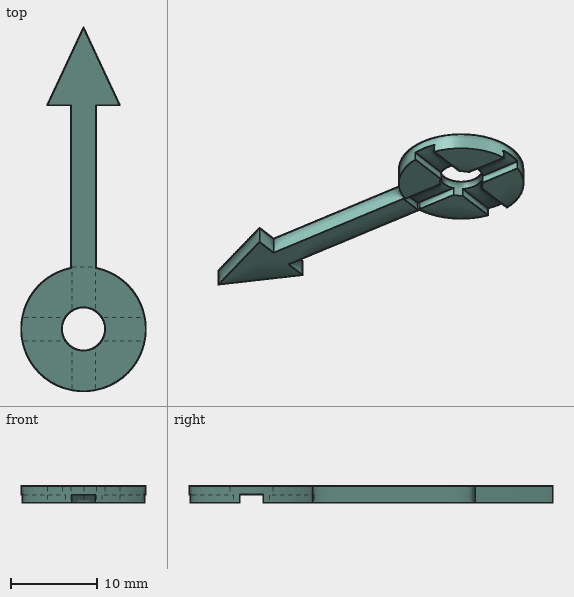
import cadquery as cq

total_length = 42.25
thickness = 2.0
disc_diameter = 14.5
hole_diameter = 5.0
arm_width = 2.95
head_width = 8.45
head_length = 9.05
slot_width = 2.7
slot_depth = 0.97

disc_radius = disc_diameter / 2
tip_y = total_length - disc_radius
head_base_y = tip_y - head_length


def make_pointer():
    """Disc with a straight arm ending in a triangular arrowhead along +Y."""
    disc = cq.Workplane("XY").circle(disc_radius).extrude(thickness)
    arrow = (
        cq.Workplane("XY")
        .moveTo(-arm_width / 2, 0)
        .lineTo(-arm_width / 2, head_base_y)
        .lineTo(-head_width / 2, head_base_y)
        .lineTo(0, tip_y)
        .lineTo(head_width / 2, head_base_y)
        .lineTo(arm_width / 2, head_base_y)
        .lineTo(arm_width / 2, 0)
        .close()
        .extrude(thickness)
    )
    return disc.union(arrow)


def make_cross_slots():
    """Crossed slots in the underside, spanning the disc diameter both ways."""
    along_x = cq.Workplane("XY").rect(disc_diameter, slot_width).extrude(slot_depth)
    along_y = cq.Workplane("XY").rect(slot_width, disc_diameter).extrude(slot_depth)
    return along_x.union(along_y)


def make_hole():
    """Through hole at the disc centre."""
    return cq.Workplane("XY").circle(hole_diameter / 2).extrude(thickness)


result = make_pointer().cut(make_cross_slots()).cut(make_hole())